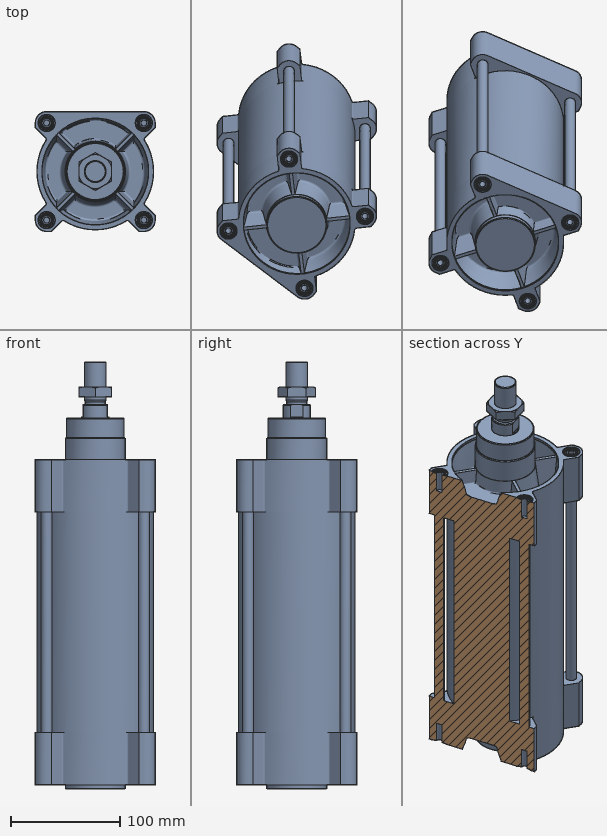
import cadquery as cq
import math

total_length = 391.5
rear_collar_height = 4.0
cap_width = 110.0
cap_height = 48.0
barrel_length = 202.0
barrel_diameter = 107.0
tie_rod_diameter = 10.0
tie_rod_offset = 44.5
boss_radius = cap_width / 2 - tie_rod_offset
boss_root_fillet = 1.5

front_face = 2 * cap_height + barrel_length
mid_height = front_face / 2
rod_tip = total_length - rear_collar_height

socket_diameters = (15.8, 15.0, 12.8, 12.0, 10.0, 8.38)
socket_step = 0.15
thread_hole_diameter = 5.46
thread_hole_depth = 20.0

pocket_diameter = 98.0
pocket_depth = 30.0
port_pocket_depth = 15.0
rib_thickness = 2.5
rib_drop = 2.0
pocket_draft = 7.0
pocket_floor_fillet = 2.0
port_pocket_floor_fillet = 1.0

collar_diameter = 55.0
collar_height = 20.0
collar_edge = 0.8
nose_diameter = 53.0
nose_top = front_face + 38.0
nose_edge = 0.8

rod_diameter = 25.0
rod_flat_width = 22.0
rod_flat_bottom = nose_top + 1.2
rod_chamfer = 0.8
thread_diameter = 20.0
neck_diameter = 18.38
shoulder = rod_tip - 39.0
rod_foot = front_face - cap_height
thread_end = shoulder + 2.3
thread_runout = 1.8
tip_chamfer = 0.8

nut_flats = 30.0
nut_height = 9.0
nut_top = rod_tip - 23.0
nut_chamfer_height = 1.0
nut_chamfer_width = 1.8


def cylinder(diameter, bottom, top):
    return cq.Workplane("XY").workplane(offset=bottom).circle(diameter / 2).extrude(top - bottom)


def corner_points():
    return [(x * tie_rod_offset, y * tie_rod_offset) for x in (-1, 1) for y in (-1, 1)]


def corner_boss():
    """Boss in the -X -Y corner: rounded outside, two 45 degree flanks running inwards."""
    centre = -tie_rod_offset
    edge = -cap_width / 2
    bend = boss_radius * math.tan(math.radians(22.5))
    reach = tie_rod_offset / 2
    arc_mid = centre - boss_radius * math.sqrt(0.5)
    return (
        cq.Workplane("XY")
        .moveTo(edge, centre)
        .threePointArc((arc_mid, arc_mid), (centre, edge))
        .lineTo(centre + bend, edge)
        .lineTo(centre + bend + reach, edge + reach)
        .lineTo(edge + reach, centre + bend + reach)
        .lineTo(edge, centre + bend)
        .close()
        .extrude(cap_height)
    )


def cap_blank():
    blank = cylinder(barrel_diameter, 0, cap_height)
    for corner in range(4):
        blank = blank.union(corner_boss().rotate((0, 0, 0), (0, 0, 1), 90 * corner))
    side_fill = cq.Workplane("XY").rect(2 * tie_rod_offset, cap_width / 2).extrude(cap_height)
    blank = blank.union(side_fill.translate((0, cap_width / 4, 0)))
    along = math.sqrt((barrel_diameter / 2) ** 2 - boss_radius ** 2)
    near = (along - boss_radius) * math.sqrt(0.5)
    far = (along + boss_radius) * math.sqrt(0.5)
    roots = [(-near, -far), (near, -far)]
    roots += [(side * far, y) for side in (-1, 1) for y in (-near, near)]
    for x, y in roots:
        root = cq.selectors.NearestToPointSelector((x, y, cap_height / 2))
        blank = blank.edges(root).fillet(boss_root_fillet)
    return blank


def pocket(direction, depth, floor_fillet):
    """Drafted quarter-ring pocket, open at the cap face, between two diagonal ribs."""
    shrink = depth * math.tan(math.radians(pocket_draft))
    outer = cq.Solid.makeCone(pocket_diameter / 2 - shrink, pocket_diameter / 2, depth)
    hub = cq.Solid.makeCone(collar_diameter / 2 + shrink, collar_diameter / 2, depth)
    apex = rib_thickness * math.sqrt(0.5)
    wedge = (
        cq.Workplane("XY")
        .workplane(offset=depth)
        .polyline([(apex, 0), (apex + cap_width, cap_width), (apex + cap_width, -cap_width)])
        .close()
        .extrude(-depth, taper=pocket_draft)
    )
    ring = cq.Workplane(outer).cut(cq.Workplane(hub))
    shape = ring.intersect(wedge).faces("<Z").edges().fillet(floor_fillet)
    return shape.rotate((0, 0, 0), (0, 0, 1), direction).translate((0, 0, cap_height - depth))


def end_cap():
    """End cap with its mounting face upwards at z = cap_height."""
    cap = cap_blank()
    for direction in (0, 180, 270):
        cap = cap.cut(pocket(direction, pocket_depth, pocket_floor_fillet))
    cap = cap.cut(pocket(90, port_pocket_depth, port_pocket_floor_fillet))
    rib_relief = cylinder(pocket_diameter, cap_height - rib_drop, cap_height)
    cap = cap.cut(rib_relief.cut(cylinder(collar_diameter, 0, cap_height)))
    steps = [(diameter, socket_step * (i + 1)) for i, diameter in enumerate(socket_diameters)]
    for diameter, depth in steps + [(thread_hole_diameter, thread_hole_depth)]:
        holes = cq.Workplane("XY").workplane(offset=cap_height).pushPoints(corner_points())
        cap = cap.cut(holes.circle(diameter / 2).extrude(-depth))
    return cap


def make_housing():
    front_cap = end_cap().translate((0, 0, front_face - cap_height))
    rear_cap = front_cap.mirror("XY", (0, 0, mid_height))
    barrel = cylinder(barrel_diameter, cap_height, front_face - cap_height)
    tie_rods = (
        cq.Workplane("XY")
        .workplane(offset=cap_height)
        .pushPoints(corner_points())
        .circle(tie_rod_diameter / 2)
        .extrude(barrel_length)
    )
    rear_collar = cylinder(collar_diameter, -rear_collar_height, 0).faces("<Z").edges().chamfer(collar_edge)
    collar = cylinder(collar_diameter, front_face, front_face + collar_height)
    collar = collar.faces(">Z").edges().chamfer(collar_edge)
    nose = cylinder(nose_diameter, front_face, nose_top).faces(">Z").edges().chamfer(nose_edge)
    housing = barrel
    for piece in (front_cap, rear_cap, tie_rods, rear_collar, collar, nose):
        housing = housing.union(piece, clean=False)
    return housing.cut(cylinder(rod_diameter, rod_foot, nose_top), clean=False)


def make_piston_rod():
    rod = cylinder(rod_diameter, rod_foot, shoulder)
    rod = rod.faces(">Z").edges().chamfer(rod_chamfer)
    flats = (
        cq.Workplane("XY")
        .workplane(offset=rod_flat_bottom)
        .rect(2 * rod_diameter, 2 * rod_diameter)
        .rect(rod_flat_width, 2 * rod_diameter)
        .extrude(shoulder - rod_flat_bottom)
    )
    neck = cylinder(neck_diameter, shoulder, thread_end)
    thread = cylinder(thread_diameter, thread_end, rod_tip)
    thread = thread.faces(">Z").edges().chamfer(tip_chamfer)
    thread = thread.faces("<Z").edges().chamfer(thread_runout, (thread_diameter - neck_diameter) / 2)
    return rod.cut(flats).union(neck).union(thread)


def make_lock_nut():
    corner_diameter = nut_flats / math.cos(math.radians(30))
    nut = (
        cq.Workplane("XY")
        .workplane(offset=nut_top - nut_height)
        .polygon(6, corner_diameter)
        .extrude(nut_height)
        .rotate((0, 0, 0), (0, 0, 1), 90)
    )
    envelope = cylinder(corner_diameter, nut_top - nut_height, nut_top)
    envelope = envelope.faces(">Z").edges().chamfer(nut_chamfer_height, nut_chamfer_width)
    return nut.intersect(envelope).cut(cylinder(thread_diameter, nut_top - nut_height, nut_top))


housing = make_housing()
piston_rod = make_piston_rod()
lock_nut = make_lock_nut()

bodies = (housing, piston_rod, lock_nut)
result = cq.Compound.makeCompound([body.solids().val() for body in bodies])